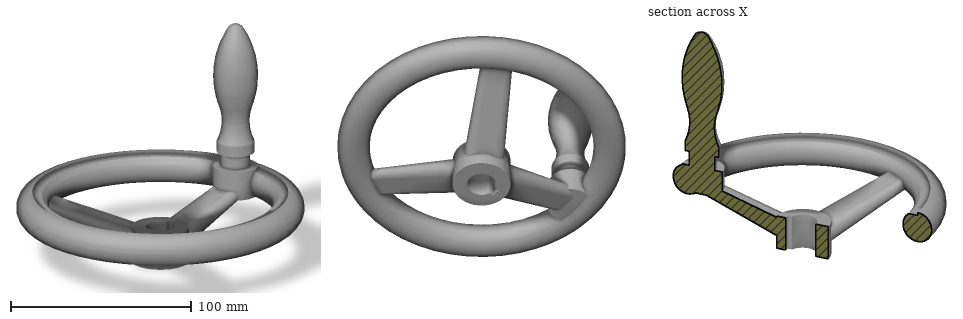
import cadquery as cq
import math

full_turn = 360.0

hub_diameter = 32.0
hub_height = 20.0
bore_diameter = 16.0
key_width = 5.0
key_top = 10.3

wheel_diameter = 160.0
rim_bar_diameter = 18.0
rim_bar_radius = rim_bar_diameter / 2
rim_radius = wheel_diameter / 2 - rim_bar_radius
rim_top = 40.0
rim_mid_height = rim_top - rim_bar_radius
step_depth = 1.8
step_height = rim_top - step_depth

spoke_count = 3
spoke_flat_width = 11.0
spoke_axis_height = 8.5
spoke_inner_radius = 10.0
spoke_inner_thickness = 11.4
spoke_outer_thickness = 6.1
spoke_first_angle = 90.0

handle_offset = 62.0
boss_diameter = 25.0
boss_height = 16.5
boss_bottom = rim_top - boss_height
pin_diameter = 16.0
collar_radius = 10.5
collar_bottom = 48.2
collar_top = 54.5
neck_radius = 7.75
neck_height = 66.3
grip_start_radius = 9.2
grip_start_height = 74.7
grip_max_radius = 12.5
grip_max_height = 92.7
tip_chord_radius = 4.5
tip_start_height = 120.3
handle_top = 122.99


def make_hub():
    return cq.Workplane("XY").circle(hub_diameter / 2).extrude(hub_height)


def make_rim():
    """Ring of round section, stepped down inside its centre circle."""
    ring = (
        cq.Workplane("XZ")
        .center(rim_radius, rim_mid_height)
        .circle(rim_bar_radius)
        .revolve(full_turn, (-rim_radius, 0), (-rim_radius, 1))
    )
    step = cq.Workplane("XY").workplane(offset=step_height).circle(rim_radius).extrude(step_depth)
    return ring.cut(step)


def make_spoke(angle):
    """Tapered bar lofted between two stadium sections square to the spoke line."""
    rise = rim_mid_height - spoke_axis_height
    slope = math.atan2(rise, rim_radius)
    length = (rim_radius - spoke_inner_radius) / math.cos(slope)
    start_height = spoke_axis_height + spoke_inner_radius * math.tan(slope)
    section_plane = cq.Plane(
        origin=(spoke_inner_radius, 0, start_height),
        xDir=(0, 1, 0),
        normal=(math.cos(slope), 0, math.sin(slope)),
    )
    bar = (
        cq.Workplane(section_plane)
        .slot2D(spoke_flat_width + spoke_inner_thickness, spoke_inner_thickness)
        .workplane(offset=length)
        .slot2D(spoke_flat_width + spoke_outer_thickness, spoke_outer_thickness)
        .loft(ruled=True)
    )
    return bar.rotate((0, 0, 0), (0, 0, 1), angle)


def make_boss():
    return (
        cq.Workplane("XY")
        .workplane(offset=boss_bottom)
        .center(0, handle_offset)
        .circle(boss_diameter / 2)
        .extrude(boss_height)
    )


def waist_midpoint(neck, end):
    """Point halfway up the arc that leaves the neck vertically and flares out to the end point."""
    rise = end[1] - neck[1]
    run = end[0] - neck[0]
    arc_radius = (rise**2 + run**2) / (2 * run)
    sag = arc_radius - math.sqrt(arc_radius**2 - (rise / 2) ** 2)
    return neck[0] + sag, neck[1] + rise / 2


def make_handle():
    """Turned handle: pin, collar, waisted neck, barrel grip and rounded tip."""
    neck = (neck_radius, neck_height)
    shoulder = (collar_radius, collar_top)
    grip_start = (grip_start_radius, grip_start_height)
    tip_start = (tip_chord_radius, tip_start_height)
    tip = (0, handle_top)

    lower_mid = waist_midpoint(neck, shoulder)
    upper_mid = waist_midpoint(neck, grip_start)
    tip_rise = handle_top - tip_start_height
    tip_radius = (tip_chord_radius**2 + tip_rise**2) / (2 * tip_rise)
    tip_half_angle = math.asin(tip_chord_radius / tip_radius) / 2
    tip_mid = (
        tip_radius * math.sin(tip_half_angle),
        handle_top - tip_radius * (1 - math.cos(tip_half_angle)),
    )

    profile = (
        cq.Workplane("XZ")
        .moveTo(0, boss_bottom)
        .lineTo(pin_diameter / 2, boss_bottom)
        .lineTo(pin_diameter / 2, collar_bottom)
        .lineTo(collar_radius, collar_bottom)
        .lineTo(*shoulder)
        .threePointArc(lower_mid, neck)
        .threePointArc(upper_mid, grip_start)
        .threePointArc((grip_max_radius, grip_max_height), tip_start)
        .threePointArc(tip_mid, tip)
        .close()
    )
    return profile.revolve(full_turn, (0, 0), (0, 1)).translate((0, handle_offset, 0))


def make_bore():
    """Through bore with a keyway on the +Y side."""
    bore = cq.Workplane("XY").circle(bore_diameter / 2).extrude(hub_height)
    keyway = cq.Workplane("XY").center(0, key_top / 2).rect(key_width, key_top).extrude(hub_height)
    return bore.union(keyway)


wheel = make_hub().union(make_rim())
for index in range(spoke_count):
    wheel = wheel.union(make_spoke(spoke_first_angle + index * full_turn / spoke_count))
wheel = wheel.union(make_boss()).union(make_handle())
result = wheel.cut(make_bore())